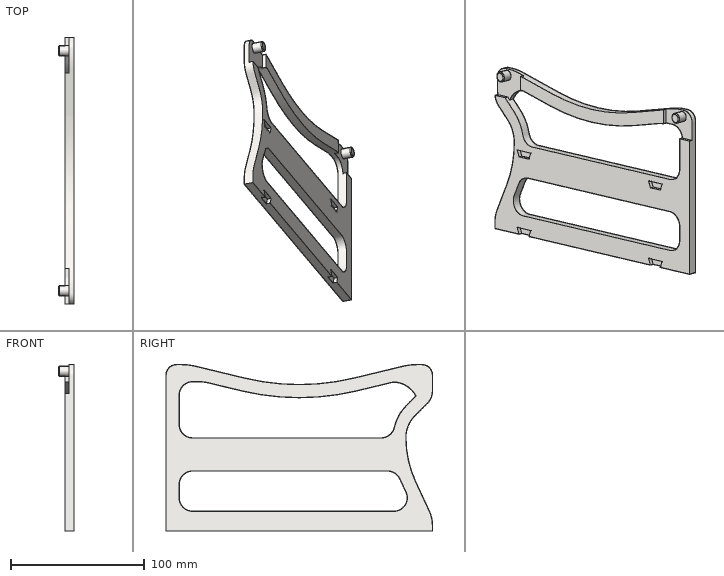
import cadquery as cq
import math

length = 200.0
height = 125.0
thickness = 7.0
wall = 10.0
window_radius = 10.0
mid_y = length / 2

corner_radius = 8.0
crest_radius = 42.0
crest_offset = 83.0
flank_drop = 20.0
sag_radius = 175.0
flank_angle = math.atan2(flank_drop, crest_offset)

waist_y = 180.1
lower_slope_angle = math.radians(25.0)
lower_slope_z = 10.0
upper_slope_z = 99.7
lower_waist_radius = 79.0
upper_waist_radius = 23.0
foot_radius = 25.0
shoulder_radius = 13.0

lower_window_bottom = 15.0
lower_window_top = 45.0

upper_window_bottom = 70.0
upper_window_top = 112.0
strut_end_angle = math.radians(14.0)
strut_end_y = 169.3
eye_radius = 19.0
eye_y = 170.5
window_sag_z = height - flank_drop - wall / math.cos(flank_angle)
eye_top_z = window_sag_z + (eye_y - mid_y) * math.tan(flank_angle)
eye_z = eye_top_z - eye_radius

recess_depth = 3.0
recess_length = 26.7
recess_floor_z = 103.3
recess_end_z = 95.0
pin_diameter = 7.7
pin_length = 8.0
pin_chamfer = 0.75
pin_inset = 10.0
pin_z = height - 5.0

socket_depth = 3.0
socket_height = 5.0
socket_wide = 14.0
socket_narrow = 10.0
socket_ys = (35.0, 170.0)
socket_zs = (0.0, 60.0)


def rounded_polygon(corners):
    """Closed YZ outline; each corner is (y, z, radius), radius 0 being sharp."""
    path = cq.Workplane("YZ")
    for i, (y, z, radius) in enumerate(corners):
        here = cq.Vector(y, z, 0)
        before = cq.Vector(*corners[i - 1][:2], 0)
        after = cq.Vector(*corners[(i + 1) % len(corners)][:2], 0)
        to_before = (before - here).normalized()
        to_after = (after - here).normalized()
        half_angle = to_before.getAngle(to_after) / 2
        setback = radius / math.tan(half_angle)
        entry = here + to_before * setback
        if i == 0:
            path = path.moveTo(entry.x, entry.y)
        else:
            path = path.lineTo(entry.x, entry.y)
        if radius > 0:
            bisector = (to_before + to_after).normalized()
            middle = here + bisector * (radius / math.sin(half_angle) - radius)
            leave = here + to_after * setback
            path = path.threePointArc((middle.x, middle.y), (leave.x, leave.y))
    return path.close()


def lower_slope_y(z):
    """Y of the lower slope of the waisted edge at height z."""
    return length - (z - lower_slope_z) * math.tan(lower_slope_angle)


def blank():
    waist_low_z = lower_slope_z + (length - waist_y) / math.tan(lower_slope_angle)
    waist_high_z = upper_slope_z - (length - waist_y)
    outline = rounded_polygon([
        (0, 0, 0),
        (0, height, corner_radius),
        (mid_y - crest_offset, height, crest_radius),
        (mid_y, height - flank_drop, sag_radius),
        (mid_y + crest_offset, height, crest_radius),
        (length, height, corner_radius),
        (length, upper_slope_z, shoulder_radius),
        (waist_y, waist_high_z, upper_waist_radius),
        (waist_y, waist_low_z, lower_waist_radius),
        (length, lower_slope_z, foot_radius),
        (length, 0, 0),
    ])
    return outline.extrude(thickness)


def lower_window():
    slope_offset = wall / math.cos(lower_slope_angle)
    outline = rounded_polygon([
        (wall, lower_window_bottom, window_radius),
        (wall, lower_window_top, window_radius),
        (lower_slope_y(lower_window_top) - slope_offset, lower_window_top, window_radius),
        (lower_slope_y(lower_window_bottom) - slope_offset, lower_window_bottom, window_radius),
    ])
    return outline.extrude(thickness)


def strut_edge_y(z):
    """Y of the straight 45 degree window edge, one wall inside the upper slope."""
    return length + (z - upper_slope_z) - wall * math.sqrt(2)


def upper_window():
    crest_inset = (upper_window_top - window_sag_z) / math.tan(flank_angle)
    strut_lean = math.tan(strut_end_angle)
    rise = (strut_end_y - strut_edge_y(upper_window_bottom)) / (1 - strut_lean)
    strut_bend_z = upper_window_bottom + rise
    centre_gap = (strut_edge_y(eye_z) - eye_y) / math.sqrt(2)
    half_chord = math.sqrt(eye_radius ** 2 - centre_gap ** 2)
    eye_corner_z = eye_z + (half_chord - centre_gap) / math.sqrt(2)
    frame_opening = rounded_polygon([
        (wall, upper_window_bottom, window_radius),
        (wall, upper_window_top, window_radius),
        (mid_y - crest_inset, upper_window_top, crest_radius - wall),
        (mid_y, window_sag_z, sag_radius + wall),
        (eye_y, eye_top_z, 0),
        (strut_edge_y(eye_corner_z), eye_corner_z, 0),
        (strut_edge_y(strut_bend_z), strut_bend_z, upper_waist_radius + wall),
        (strut_end_y, upper_window_bottom, window_radius),
    ]).extrude(thickness)
    corner_angle = math.atan2(eye_corner_z - eye_z, strut_edge_y(eye_corner_z) - eye_y)
    middle_angle = (corner_angle + math.pi / 2) / 2
    eye_middle_y = eye_y + eye_radius * math.cos(middle_angle)
    eye_middle_z = eye_z + eye_radius * math.sin(middle_angle)
    eye = (
        cq.Workplane("YZ")
        .moveTo(eye_y, eye_top_z)
        .threePointArc((eye_middle_y, eye_middle_z), (strut_edge_y(eye_corner_z), eye_corner_z))
        .close()
        .extrude(thickness)
    )
    return frame_opening.union(eye)


def corner_recesses():
    plain = (
        cq.Workplane("YZ")
        .moveTo(0, recess_floor_z)
        .lineTo(recess_length, recess_floor_z)
        .lineTo(recess_length, height)
        .lineTo(0, height)
        .close()
        .extrude(recess_depth)
    )
    beside_strut = (
        cq.Workplane("YZ")
        .moveTo(length, height)
        .lineTo(length - recess_length, height)
        .lineTo(length - recess_length, recess_end_z)
        .lineTo(strut_edge_y(recess_end_z), recess_end_z)
        .lineTo(strut_edge_y(recess_floor_z), recess_floor_z)
        .lineTo(length, recess_floor_z)
        .close()
        .extrude(recess_depth)
    )
    return plain.union(beside_strut)


def pins():
    return (
        cq.Workplane("YZ", origin=(recess_depth, 0, 0))
        .pushPoints([(pin_inset, pin_z), (length - pin_inset, pin_z)])
        .circle(pin_diameter / 2)
        .extrude(-pin_length)
        .faces("<X")
        .chamfer(pin_chamfer)
    )


def dovetail_socket(y, z):
    return (
        cq.Workplane("YZ")
        .moveTo(y - socket_narrow / 2, z)
        .lineTo(y + socket_narrow / 2, z)
        .lineTo(y + socket_wide / 2, z + socket_height)
        .lineTo(y - socket_wide / 2, z + socket_height)
        .close()
        .extrude(socket_depth)
    )


result = blank().cut(lower_window()).cut(upper_window()).cut(corner_recesses()).union(pins())
for socket_z in socket_zs:
    for socket_y in socket_ys:
        result = result.cut(dovetail_socket(socket_y, socket_z))